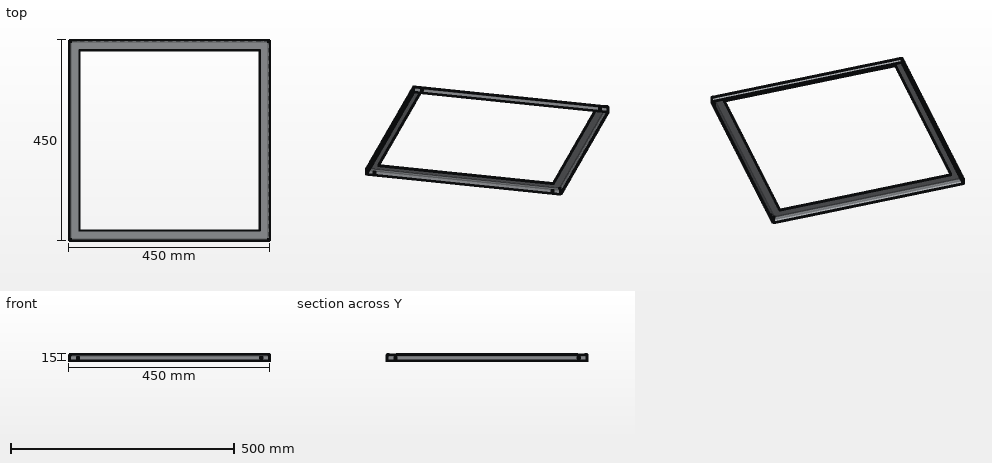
import cadquery as cq
import math

side = 450.0
height = 15.0
sheet = 2.0
bend_radius = 4.5
rim_width = 23.5
corner_gap = sheet

hole_diameter = 4.0
hole_inset = 20.0
hole_height = 6.5

half = side / 2
inner_radius = bend_radius - sheet
flat_half = half - bend_radius
flange_length = side - 2 * corner_gap


def top_plate():
    """Flat face of the frame, between the four fold lines, with its window."""
    window = side - 2 * rim_width
    return (
        cq.Workplane("XY")
        .workplane(offset=height - sheet)
        .rect(2 * flat_half, 2 * flat_half)
        .rect(window, window)
        .extrude(sheet)
    )


def folded_flange():
    """Quarter-round fold and upright flange along the +X side."""
    bend_z = height - bend_radius
    diagonal = math.sqrt(0.5)
    outer_mid = (flat_half + bend_radius * diagonal, bend_z + bend_radius * diagonal)
    inner_mid = (flat_half + inner_radius * diagonal, bend_z + inner_radius * diagonal)
    return (
        cq.Workplane("XZ")
        .moveTo(flat_half, height)
        .threePointArc(outer_mid, (half, bend_z))
        .lineTo(half, 0)
        .lineTo(half - sheet, 0)
        .lineTo(half - sheet, bend_z)
        .threePointArc(inner_mid, (flat_half, height - sheet))
        .close()
        .extrude(flange_length / 2, both=True)
    )


def fixing_holes():
    """Two drills along Y, each passing through the front and back flanges."""
    hole_x = half - hole_inset
    return (
        cq.Workplane("XZ")
        .pushPoints([(-hole_x, hole_height), (hole_x, hole_height)])
        .circle(hole_diameter / 2)
        .extrude(side, both=True)
    )


result = top_plate()
for angle in (0, 90, 180, 270):
    result = result.union(folded_flange().rotate((0, 0, 0), (0, 0, 1), angle))
result = result.cut(fixing_holes())